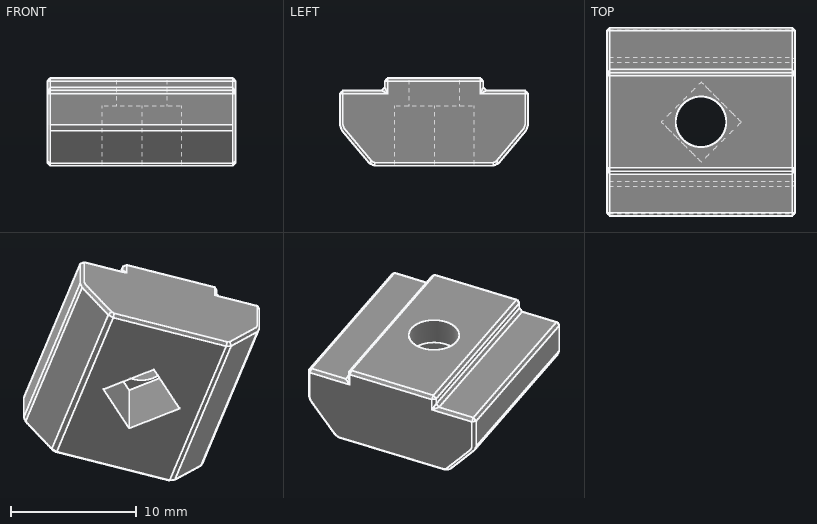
import cadquery as cq
import math

length = 15.0
width = 15.0
height = 7.0
step_height = 1.0
rib_width = 7.85
flank_height = 3.0
flank_angle = 50.0
edge_break = 0.25
hole_diameter = 4.0
hole_depth = 2.2
relief_side = 4.5
relief_angle = 45.0

shoulder_z = height - step_height
half_length = length / 2
half_width = width / 2
half_rib = rib_width / 2
half_base = half_width - flank_height / math.tan(math.radians(flank_angle))


def make_body():
    """Stepped prism with every edge broken, except the two rib roots."""
    right_side = [
        (half_base, 0),
        (half_width, flank_height),
        (half_width, shoulder_z),
        (half_rib, shoulder_z),
        (half_rib, height),
    ]
    left_side = [(-y, z) for y, z in reversed(right_side)]
    prism = (
        cq.Workplane("YZ")
        .polyline(right_side + left_side)
        .close()
        .extrude(half_length, both=True)
    )
    root_edges = cq.selectors.BoxSelector(
        (-edge_break, -half_rib - edge_break, shoulder_z - edge_break),
        (edge_break, half_rib + edge_break, shoulder_z + edge_break),
    )
    return prism.edges(cq.selectors.InverseSelector(root_edges)).chamfer(edge_break)


def polyhedron(faces):
    """Solid bounded by flat faces, each a list of corner points."""
    flat_faces = [
        cq.Face.makeFromWires(cq.Wire.makePolygon([cq.Vector(*p) for p in face], close=True))
        for face in faces
    ]
    return cq.Solid.makeSolid(cq.Shell.makeShell(flat_faces))


def make_root_filler():
    """Flat 45 degree filler in the +Y rib root, with a triangular facet at each end."""
    ends = []
    for side in (-1, 1):
        inner_x = side * (half_length - edge_break)
        tip = (side * half_length, half_rib - edge_break, shoulder_z - edge_break)
        root = (inner_x, half_rib, shoulder_z)
        low = (inner_x, half_rib + edge_break, shoulder_z)
        high = (inner_x, half_rib, shoulder_z + edge_break)
        ends.append((tip, root, low, high))
    (_, root_a, low_a, high_a), (_, root_b, low_b, high_b) = ends
    faces = [
        [low_a, low_b, high_b, high_a],
        [root_a, root_b, low_b, low_a],
        [root_a, high_a, high_b, root_b],
    ]
    for tip, root, low, high in ends:
        faces += [[tip, low, high], [tip, root, low], [tip, high, root]]
    return polyhedron(faces)


def make_hole():
    """Vertical through hole, opened out to a square below."""
    relief_height = height - hole_depth
    bore = cq.Workplane("XY").circle(hole_diameter / 2).extrude(height)
    relief = (
        cq.Workplane("XY")
        .rect(relief_side, relief_side)
        .extrude(relief_height)
        .rotate((0, 0, 0), (0, 0, 1), relief_angle)
    )
    return bore.union(relief)


root_filler = cq.Workplane(make_root_filler())
result = (
    make_body()
    .union(root_filler)
    .union(root_filler.mirror("XZ"))
    .cut(make_hole())
)